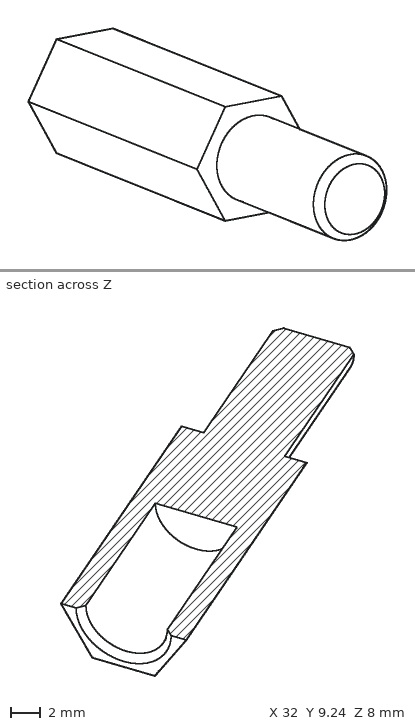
import cadquery as cq
import math

across_flats = 8.0
across_corners = across_flats / math.cos(math.pi / 6)
body_length = 20.0

thread_diameter = 6.0
stud_length = 12.0
stud_chamfer = 0.55

hole_depth = 12.0
countersink_diameter = 7.0
countersink_depth = (countersink_diameter - thread_diameter) / 2


def make_body():
    """Hexagonal prism from X = 0, with corners on +Y and -Y and flats on top and bottom."""
    return cq.Workplane("YZ").polygon(6, across_corners).extrude(body_length)


def make_stud():
    """Cylinder standing on the +X end of the body, chamfered at its tip."""
    base = cq.Workplane("YZ", origin=(body_length, 0, 0))
    stud = base.circle(thread_diameter / 2).extrude(stud_length)
    return stud.faces(">X").edges().chamfer(stud_chamfer)


def make_hole():
    """Blind hole entering at X = 0, with a conical countersink at its mouth."""
    bore_radius = thread_diameter / 2
    profile = (
        cq.Workplane("XY")
        .moveTo(0, 0)
        .lineTo(0, countersink_diameter / 2)
        .lineTo(countersink_depth, bore_radius)
        .lineTo(hole_depth, bore_radius)
        .lineTo(hole_depth, 0)
        .close()
    )
    return profile.revolve(360, (0, 0, 0), (1, 0, 0))


result = make_body().union(make_stud()).cut(make_hole())